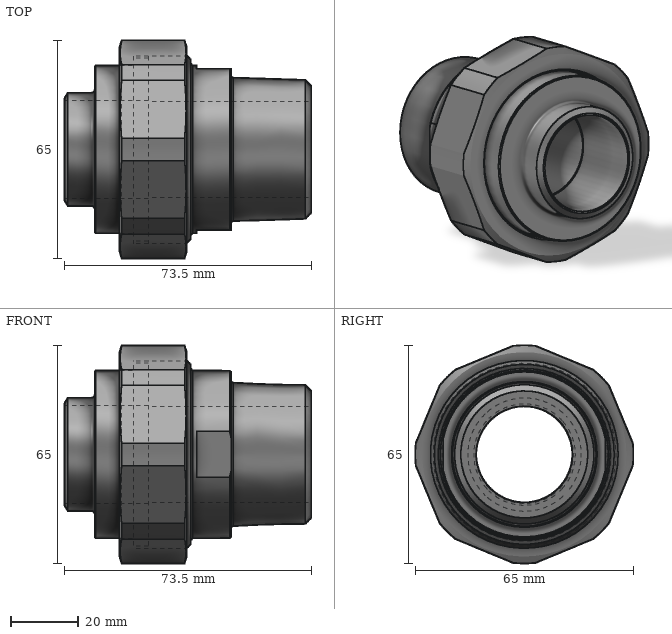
import cadquery as cq
import math

total_length = 73.5

tail_collar_x = 9.05
nut_start_x = 16.4
nut_end_x = 36.45
nut_shoulder_x = 20.6
joint_x = 25.0
union_thread_end_x = 37.6
barrel_end_x = 49.6

tail_bore_diameter = 29.1
tail_pipe_diameter = 33.7
tail_chamfer_length = 1.0
tail_chamfer_depth = 1.8
tail_fillet = 1.0
collar_diameter = 50.0
collar_chamfer = 0.4
flange_diameter = 54.4

nut_corner_diameter = 65.0
nut_across_flats = 62.25
nut_sides = 8
nut_face_diameter = 60.8
nut_chamfer_angle = 18.0
nut_bore_diameter = 50.5
nut_bore_chamfer = 0.5
union_thread_diameter = 55.85

body_bore_diameter = 28.5
union_thread_chamfer = 1.2
barrel_diameter = 50.0
barrel_chamfer = 0.45
barrel_root_chamfer = 0.6
flat_start_x = 39.4
barrel_across_flats = 48.1
pipe_thread_diameter = 42.8
pipe_thread_taper = 1 / 16
pipe_root_chamfer = 0.6
pipe_root_rise = 0.3
pipe_end_chamfer = 1.85


def revolve_about_x(profile):
    """Turn a closed (x, radius) profile around the pipe axis."""
    return profile.close().revolve(360, (0, 0, 0), (1, 0, 0))


def make_tailpiece():
    bore_radius = tail_bore_diameter / 2
    pipe_radius = tail_pipe_diameter / 2
    collar_radius = collar_diameter / 2
    flange_radius = flange_diameter / 2
    fillet_offset = tail_fillet * (1 - math.sqrt(0.5))
    profile = (
        cq.Workplane("XY")
        .moveTo(0, bore_radius)
        .lineTo(0, pipe_radius - tail_chamfer_depth)
        .lineTo(tail_chamfer_length, pipe_radius)
        .lineTo(tail_collar_x - tail_fillet, pipe_radius)
        .threePointArc(
            (tail_collar_x - fillet_offset, pipe_radius + fillet_offset),
            (tail_collar_x, pipe_radius + tail_fillet),
        )
        .lineTo(tail_collar_x, collar_radius - collar_chamfer)
        .lineTo(tail_collar_x + collar_chamfer, collar_radius)
        .lineTo(nut_shoulder_x, collar_radius)
        .lineTo(nut_shoulder_x, flange_radius)
        .lineTo(joint_x, flange_radius)
        .lineTo(joint_x, bore_radius)
    )
    return revolve_about_x(profile)


def make_nut():
    nut_length = nut_end_x - nut_start_x
    face_radius = nut_face_diameter / 2
    corner_radius = nut_corner_diameter / 2
    bore_radius = nut_bore_diameter / 2
    thread_radius = union_thread_diameter / 2
    chamfer_length = (corner_radius - face_radius) * math.tan(math.radians(nut_chamfer_angle))

    octagon = (
        cq.Workplane("YZ", origin=(nut_start_x, 0, 0))
        .polygon(nut_sides, nut_across_flats, circumscribed=True)
        .extrude(nut_length)
        .rotate((0, 0, 0), (1, 0, 0), 180 / nut_sides)
    )
    ring_profile = (
        cq.Workplane("XY")
        .moveTo(nut_start_x, bore_radius + nut_bore_chamfer)
        .lineTo(nut_start_x, face_radius)
        .lineTo(nut_start_x + chamfer_length, corner_radius)
        .lineTo(nut_end_x - chamfer_length, corner_radius)
        .lineTo(nut_end_x, face_radius)
        .lineTo(nut_end_x, thread_radius)
        .lineTo(nut_shoulder_x, thread_radius)
        .lineTo(nut_shoulder_x, bore_radius)
        .lineTo(nut_start_x + nut_bore_chamfer, bore_radius)
    )
    return octagon.intersect(revolve_about_x(ring_profile))


def make_threaded_body():
    bore_radius = body_bore_diameter / 2
    thread_radius = union_thread_diameter / 2
    barrel_radius = barrel_diameter / 2
    pipe_start_x = barrel_end_x + pipe_root_chamfer
    pipe_start_radius = pipe_thread_diameter / 2
    pipe_end_x = total_length - pipe_end_chamfer
    pipe_end_radius = pipe_start_radius - (pipe_end_x - pipe_start_x) * pipe_thread_taper / 2
    profile = (
        cq.Workplane("XY")
        .moveTo(joint_x, bore_radius)
        .lineTo(joint_x, thread_radius)
        .lineTo(union_thread_end_x - union_thread_chamfer, thread_radius)
        .lineTo(union_thread_end_x, thread_radius - union_thread_chamfer)
        .lineTo(union_thread_end_x, barrel_radius + barrel_root_chamfer)
        .lineTo(union_thread_end_x + barrel_root_chamfer, barrel_radius)
        .lineTo(barrel_end_x - barrel_chamfer, barrel_radius)
        .lineTo(barrel_end_x, barrel_radius - barrel_chamfer)
        .lineTo(barrel_end_x, pipe_start_radius + pipe_root_rise)
        .lineTo(pipe_start_x, pipe_start_radius)
        .lineTo(pipe_end_x, pipe_end_radius)
        .lineTo(total_length, pipe_end_radius - pipe_end_chamfer)
        .lineTo(total_length, bore_radius)
    )
    return cut_wrench_flats(revolve_about_x(profile))


def cut_wrench_flats(body):
    """Cut two opposite flats, facing -Y and +Y, into the barrel."""
    flat_length = barrel_end_x - flat_start_x
    cutter_depth = barrel_diameter - barrel_across_flats
    for side in (-1, 1):
        cutter = cq.Workplane("XY").box(flat_length, cutter_depth, barrel_diameter).translate(
            (flat_start_x + flat_length / 2, side * (barrel_across_flats + cutter_depth) / 2, 0)
        )
        body = body.cut(cutter)
    return body


tailpiece = make_tailpiece()
nut = make_nut()
threaded_body = make_threaded_body()

result = cq.Compound.makeCompound([tailpiece.val(), nut.val(), threaded_body.val()])